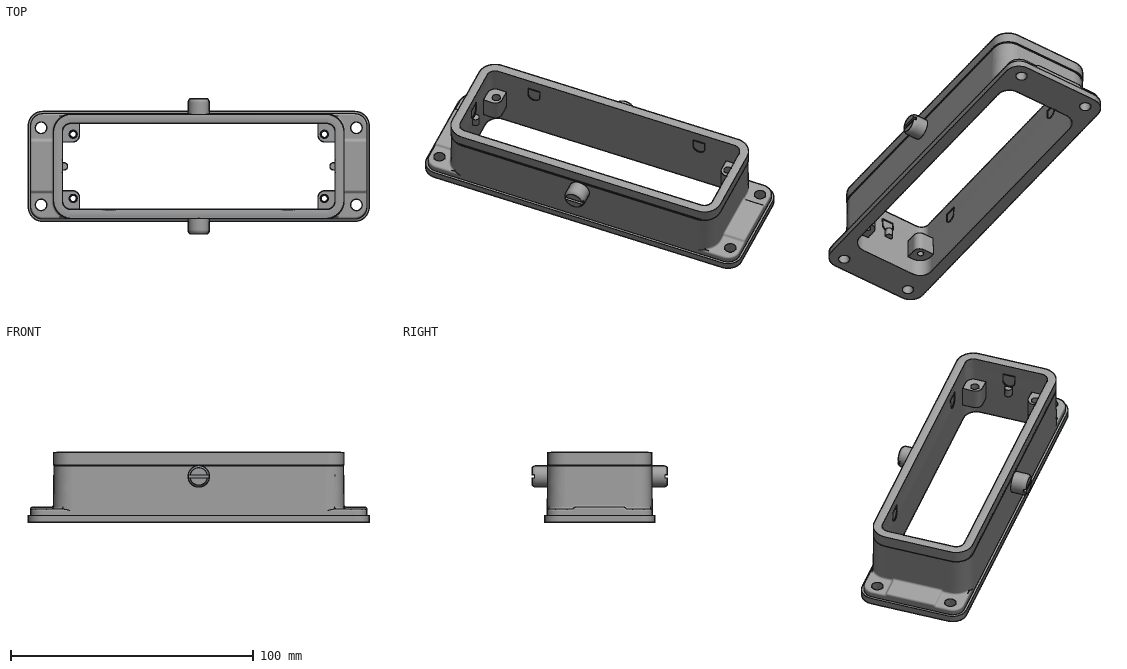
import cadquery as cq
import math

flange_length = 141.0
flange_width = 45.5
flange_height = 3.0
flange_corner_radius = 6.0

pad_inset = 1.0
pad_height = 5.5
pad_blend = 0.8
band_rise = 0.8
band_half_width = 10.7
band_step_radius = 1.06
body_length = 120.3
body_width = flange_width - 2 * pad_inset
body_corner_radius = 7.6
body_draft = 0.3

collar_length = 120.1
collar_width = 43.0
collar_corner_radius = 7.2
collar_bottom = 23.8
shoulder_chamfer = 0.4
total_height = 29.0
crown_rise = 0.17
wall_thickness = 3.7
rim_ledge = 0.3

lower_corner_radius = 5.5
waist_height = 17.8
waist_inset = 0.1
foot_height = 1.4

pocket_width = 5.2
pocket_depth = 0.4
pocket_bottom = 17.9
pocket_x = 37.0

boss_bottom = 8.6
boss_inner_x = 49.2
boss_inner_y = 10.0
boss_corner_radius = 3.0
boss_hole_x = 51.9
boss_hole_y = 13.3
boss_hole_top_diameter = 3.4
boss_hole_bottom_diameter = 2.5

key_tip_x = 54.1
key_radius = 1.5
key_bottom = 14.1

mount_hole_diameter = 4.7
mount_hole_x = 65.1
mount_hole_y = 16.0

pin_diameter = 8.9
pin_span = 56.0
pin_height = 19.0
pin_nose_length = 1.7
pin_nose_inset = 0.8
pin_slot_width = 1.3
pin_slot_depth = 1.0

rim_edge_height = total_height - crown_rise
mouth_bottom = collar_bottom
mouth_length = collar_length - 2 * wall_thickness
mouth_width = collar_width - 2 * wall_thickness
mouth_corner_radius = collar_corner_radius - wall_thickness
waist_corner_radius = mouth_corner_radius - waist_inset
waist_length = mouth_length - 2 * waist_inset
waist_width = mouth_width - 2 * waist_inset
body_rise = collar_bottom - flange_height
draft_angle = math.degrees(math.atan(body_draft / body_rise))
pad_length = flange_length - 2 * pad_inset
pad_corner_radius = flange_corner_radius - pad_inset
band_height = pad_height + band_rise
quadrants = [(sx, sy) for sx in (-1, 1) for sy in (-1, 1)]


def rounded_block(length, width, radius, bottom, top, taper=0.0):
    """Rounded rectangular prism centred on Z; a positive taper narrows it upwards."""
    outline = cq.Sketch().rect(length, width).vertices().fillet(radius)
    base = cq.Workplane("XY", origin=(0, 0, bottom))
    return base.placeSketch(outline).extrude(top - bottom, taper=taper)


def mirrored(shape, side_x, side_y):
    """Move a shape built in the +X +Y quadrant to the quadrant given by two signs."""
    if side_x < 0:
        shape = shape.mirror("YZ")
    if side_y < 0:
        shape = shape.mirror("XZ")
    return shape


def pad_slab():
    """Oversized slab whose top steps up, through two tangent arcs on each side, to a raised middle band."""
    half_step = math.sqrt(band_step_radius * band_rise - band_rise**2 / 4)
    slab_half_width = flange_width
    high = band_half_width - half_step
    low = band_half_width + half_step
    middle = pad_height + band_rise / 2
    return (
        cq.Workplane("YZ", origin=(-flange_length, 0, 0))
        .moveTo(-slab_half_width, flange_height)
        .lineTo(slab_half_width, flange_height)
        .lineTo(slab_half_width, pad_height)
        .lineTo(low, pad_height)
        .tangentArcPoint((band_half_width, middle), relative=False)
        .tangentArcPoint((high, band_height), relative=False)
        .lineTo(-high, band_height)
        .tangentArcPoint((-band_half_width, middle), relative=False)
        .tangentArcPoint((-low, pad_height), relative=False)
        .lineTo(-slab_half_width, pad_height)
        .close()
        .extrude(2 * flange_length)
    )


def pad_prism(inset, top):
    """Drafted prism over the pad outline, shrunk by an inset."""
    return rounded_block(
        pad_length - 2 * inset,
        body_width - 2 * inset,
        pad_corner_radius - inset,
        flange_height,
        top,
        draft_angle,
    )


def make_body():
    return rounded_block(
        body_length, body_width, body_corner_radius, flange_height, collar_bottom, draft_angle
    )


def make_shouldered_body():
    """Body with a bevelled top edge, leaving a small groove under the collar."""
    return make_body().faces(">Z").edges().chamfer(shoulder_chamfer)


def make_flange():
    return rounded_block(flange_length, flange_width, flange_corner_radius, 0, flange_height)


def pad_top_edges(half_length, half_width):
    """Selector for edges near the pad tops whose centres lie in a box centred on Z."""
    bottom = pad_height - pad_blend
    top = band_height + pad_blend
    return cq.selectors.BoxSelector((-half_length, -half_width, bottom), (half_length, half_width, top))


def make_pads():
    """End pads with a rounded outer top edge; the lines of the band steps stay as they are."""
    pads = pad_slab().intersect(pad_prism(0, band_height + pad_blend))
    outline_and_steps = pad_top_edges(flange_length, flange_width)
    steps = pad_top_edges(body_length / 2, waist_width / 2)
    return pads.edges(outline_and_steps - steps).fillet(pad_blend)


def make_wall_blend():
    """Concave blend between the body wall and the pad tops, kept clear of the rounded pad edge."""
    joined = pad_slab().union(make_body()).edges(pad_top_edges(body_length / 2, body_width / 2))
    return joined.fillet(pad_blend).intersect(pad_prism(pad_blend, band_height + pad_blend))


def make_collar():
    return rounded_block(collar_length, collar_width, collar_corner_radius, collar_bottom, rim_edge_height)


def make_crown():
    """Slightly domed bead along the top of the rim, leaving a narrow ledge on each side."""
    half_width = wall_thickness / 2 - rim_ledge
    wall_middle = rounded_block(
        collar_length - wall_thickness,
        collar_width - wall_thickness,
        collar_corner_radius - wall_thickness / 2,
        collar_bottom,
        rim_edge_height,
    )
    path = wall_middle.faces(">Z").wires()
    return (
        cq.Workplane("YZ", origin=(0, -(collar_width - wall_thickness) / 2, rim_edge_height))
        .moveTo(-half_width, 0)
        .threePointArc((0, crown_rise), (half_width, 0))
        .close()
        .sweep(path)
    )


def make_cavity():
    """Opening right through the frame, narrowest at the height of the boss tops."""
    foot = rounded_block(mouth_length, mouth_width, lower_corner_radius, 0, foot_height)
    lower_rise = waist_height - foot_height
    lower = rounded_block(
        mouth_length,
        mouth_width,
        lower_corner_radius,
        foot_height,
        waist_height,
        math.degrees(math.atan(waist_inset / lower_rise)),
    )
    slope = math.degrees(math.atan(waist_inset / (mouth_bottom - waist_height)))
    sloping = rounded_block(
        waist_length, waist_width, waist_corner_radius, waist_height, mouth_bottom, -slope
    )
    mouth = rounded_block(
        mouth_length, mouth_width, mouth_corner_radius, mouth_bottom, total_height
    )
    return foot.union(lower).union(sloping).union(mouth)


def pocket_cutter(reach):
    """Round-bottomed slab pointing along +Y, leaning with the sloping wall, its face at the given reach."""
    radius = pocket_width / 2
    profile = (
        cq.Workplane("XZ")
        .moveTo(-radius, mouth_bottom)
        .lineTo(-radius, pocket_bottom + radius)
        .threePointArc((0, pocket_bottom), (radius, pocket_bottom + radius))
        .lineTo(radius, mouth_bottom)
        .close()
        .extrude(-reach - wall_thickness)
    )
    lean = (
        cq.Workplane("YZ", origin=(-pocket_width, 0, 0))
        .moveTo(reach - wall_thickness, waist_height)
        .lineTo(reach + pocket_depth, waist_height)
        .lineTo(reach + pocket_depth + waist_inset, mouth_bottom)
        .lineTo(reach - wall_thickness, mouth_bottom)
        .close()
        .extrude(2 * pocket_width)
    )
    return profile.intersect(lean)


def make_pockets():
    side = pocket_cutter(waist_width / 2)
    end = pocket_cutter(waist_length / 2).rotate((0, 0, 0), (0, 0, 1), -90)
    pockets = end.union(end.mirror("YZ"))
    for x in (-pocket_x, pocket_x):
        shifted = side.translate((x, 0, 0))
        pockets = pockets.union(shifted).union(shifted.mirror("XZ"))
    return pockets


def make_boss(side_x, side_y):
    """Corner block reaching into the wall, with one rounded vertical edge."""
    size_x = body_length / 2 - wall_thickness / 2 - boss_inner_x
    size_y = body_width / 2 - wall_thickness / 2 - boss_inner_y
    block = (
        cq.Workplane("XY", origin=(boss_inner_x, boss_inner_y, boss_bottom))
        .rect(size_x, size_y, centered=False)
        .extrude(waist_height - boss_bottom)
        .edges("|Z and <X and <Y")
        .fillet(boss_corner_radius)
    )
    return mirrored(block.intersect(make_body()), side_x, side_y)


def make_boss_hole(side_x, side_y):
    """Cored hole, tapering downwards."""
    drop = waist_height - boss_bottom
    return (
        cq.Workplane("XY", origin=(side_x * boss_hole_x, side_y * boss_hole_y, waist_height))
        .circle(boss_hole_top_diameter / 2)
        .workplane(offset=-drop)
        .circle(boss_hole_bottom_diameter / 2)
        .loft()
    )


def make_key(side_x):
    """Upright round-nosed key standing on an end wall."""
    key_height = waist_height - key_bottom
    nose_x = key_tip_x + key_radius
    root = waist_length / 2 + wall_thickness / 2 - nose_x
    base = cq.Workplane("XY", origin=(nose_x, 0, key_bottom))
    nose = base.circle(key_radius).extrude(key_height)
    stem = base.center(root / 2, 0).rect(root, 2 * key_radius).extrude(key_height)
    return mirrored(nose.union(stem), side_x, 1)


def make_pin(side_y):
    """Slotted pin with a rounded nose, rooted in the long wall."""
    radius = pin_diameter / 2
    root = waist_width / 2 + wall_thickness / 2
    tip = pin_span / 2
    pin = (
        cq.Workplane("XY")
        .moveTo(0, root)
        .lineTo(radius, root)
        .lineTo(radius, tip - pin_nose_length)
        .tangentArcPoint((radius - pin_nose_inset, tip), relative=False)
        .lineTo(0, tip)
        .close()
        .revolve(360, (0, 0, 0), (0, 1, 0))
    )
    slot = cq.Workplane("XY", origin=(0, tip, 0)).box(pin_diameter, 2 * pin_slot_depth, pin_slot_width)
    return mirrored(pin.cut(slot).translate((0, 0, pin_height)), 1, side_y)


def make_mount_holes():
    return (
        cq.Workplane("XY")
        .pushPoints([(sx * mount_hole_x, sy * mount_hole_y) for sx, sy in quadrants])
        .circle(mount_hole_diameter / 2)
        .extrude(band_height)
    )


frame = make_flange().union(make_pads()).union(make_wall_blend())
frame = frame.union(make_shouldered_body()).union(make_collar())
frame = frame.cut(make_cavity()).cut(make_pockets()).union(make_crown())
for sx, sy in quadrants:
    frame = frame.union(make_boss(sx, sy)).cut(make_boss_hole(sx, sy))
for side in (-1, 1):
    frame = frame.union(make_key(side)).union(make_pin(side))
result = frame.cut(make_mount_holes())